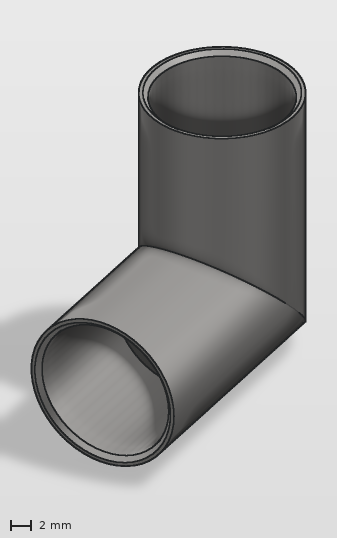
import cadquery as cq

outer_diameter = 16.0
overall_length = 30.0
bore_diameter = 14.2
mouth_chamfer = 0.5

leg_length = overall_length - outer_diameter / 2
socket_depth = overall_length - outer_diameter

top_end = cq.Plane(origin=(0, 0, leg_length), xDir=(1, 0, 0), normal=(0, 0, 1))
front_end = cq.Plane(origin=(0, -leg_length, 0), xDir=(1, 0, 0), normal=(0, -1, 0))


def make_elbow_body():
    """Solid round bar following the right-angle path, with a sharp mitre at the corner."""
    path = cq.Workplane("YZ").polyline([(0, leg_length), (0, 0), (-leg_length, 0)])
    profile = cq.Workplane(top_end).circle(outer_diameter / 2)
    return profile.sweep(path, transition="right")


def make_socket(end_plane):
    """Blind bore cut inward from an open end, widened by a 45 degree chamfer at its mouth."""
    bore = cq.Workplane(end_plane).circle(bore_diameter / 2).extrude(-socket_depth)
    mouth_radius = bore_diameter / 2 + mouth_chamfer
    mouth = cq.Workplane(end_plane).circle(mouth_radius).extrude(-mouth_chamfer, taper=45)
    return bore.union(mouth)


result = make_elbow_body()
for end_plane in (top_end, front_end):
    result = result.cut(make_socket(end_plane))